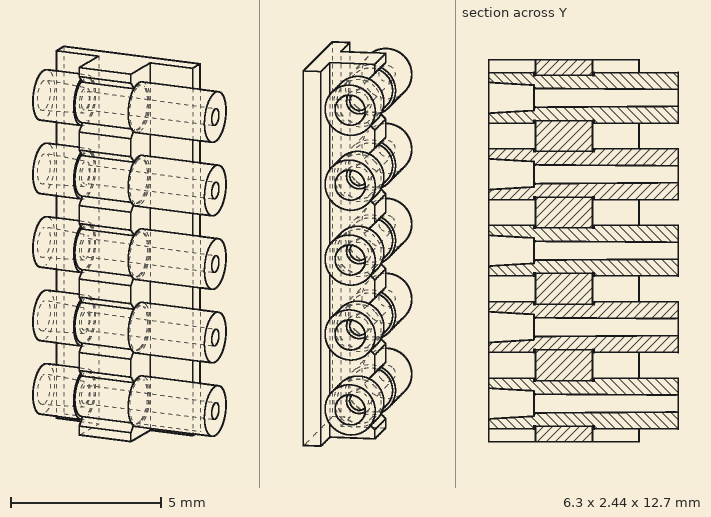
import cadquery as cq
import math

SLEEVE_COUNT = 5
PITCH = 2.54
BODY_HEIGHT = SLEEVE_COUNT * PITCH

PLATE_LENGTH = 5.0
PLATE_THICKNESS = 0.6
RIB_LENGTH = 1.9
RIB_START = (PLATE_LENGTH - RIB_LENGTH) / 2
CARRIER_DEPTH = 2.12
MOUTH_HALF_HEIGHT = 0.96

SLEEVE_LENGTH = 6.3
SLEEVE_RADIUS = 0.85
WAIST_RADIUS = 0.75
WAIST_LENGTH = 2.0
WAIST_START = (PLATE_LENGTH - WAIST_LENGTH) / 2
OVERALL_DEPTH = 2.44

ENTRY_RADIUS = 0.51
ENTRY_END_RADIUS = 0.42
ENTRY_DEPTH = 1.5
THROUGH_RADIUS = 0.31
EXIT_RADIUS = 0.28
SHOULDER_ANGLE = 10.0
SHOULDER_DEPTH = (ENTRY_END_RADIUS - THROUGH_RADIUS) * math.tan(math.radians(SHOULDER_ANGLE))

SLEEVE_AXIS_Y = SLEEVE_RADIUS - OVERALL_DEPTH
SLEEVE_HEIGHTS = [(index - (SLEEVE_COUNT - 1) / 2) * PITCH for index in range(SLEEVE_COUNT)]


def block(x_start, length, depth):
    """Full-height block that reaches forward from the rear face."""
    return (
        cq.Workplane("XY")
        .box(length, depth, BODY_HEIGHT, centered=(False, False, True))
        .translate((x_start, -depth, 0))
    )


def make_seat(height):
    """Cutter for one sleeve seat: a round channel with a 45 degree flared mouth."""
    front_y = -CARRIER_DEPTH
    apex_y = front_y + MOUTH_HALF_HEIGHT
    channel = (
        cq.Workplane("YZ", origin=(RIB_START, 0, 0))
        .center(SLEEVE_AXIS_Y, height)
        .circle(WAIST_RADIUS)
        .extrude(RIB_LENGTH)
    )
    mouth = (
        cq.Workplane("YZ", origin=(RIB_START, 0, 0))
        .moveTo(apex_y, height)
        .lineTo(front_y, height + MOUTH_HALF_HEIGHT)
        .lineTo(front_y, height - MOUTH_HALF_HEIGHT)
        .close()
        .extrude(RIB_LENGTH)
    )
    return channel.union(mouth)


def make_carrier():
    carrier = block(0, PLATE_LENGTH, PLATE_THICKNESS).union(block(RIB_START, RIB_LENGTH, CARRIER_DEPTH))
    for height in SLEEVE_HEIGHTS:
        carrier = carrier.cut(make_seat(height))
    return carrier


def make_sleeve(height):
    """One tube, revolved about its axis from wall points given as (axial position, radius)."""
    waist_end = WAIST_START + WAIST_LENGTH
    shoulder_end = ENTRY_DEPTH + SHOULDER_DEPTH
    wall = [
        (0, ENTRY_RADIUS),
        (0, SLEEVE_RADIUS),
        (WAIST_START, SLEEVE_RADIUS),
        (WAIST_START, WAIST_RADIUS),
        (waist_end, WAIST_RADIUS),
        (waist_end, SLEEVE_RADIUS),
        (SLEEVE_LENGTH, SLEEVE_RADIUS),
        (SLEEVE_LENGTH, EXIT_RADIUS),
        (shoulder_end, THROUGH_RADIUS),
        (ENTRY_DEPTH, ENTRY_END_RADIUS),
    ]
    return (
        cq.Workplane("XY")
        .polyline(wall)
        .close()
        .revolve(360, (0, 0, 0), (1, 0, 0))
        .translate((0, SLEEVE_AXIS_Y, height))
    )


carrier = make_carrier()
sleeves = [make_sleeve(height) for height in SLEEVE_HEIGHTS]

result = cq.Compound.makeCompound([carrier.val(), *[sleeve.val() for sleeve in sleeves]])